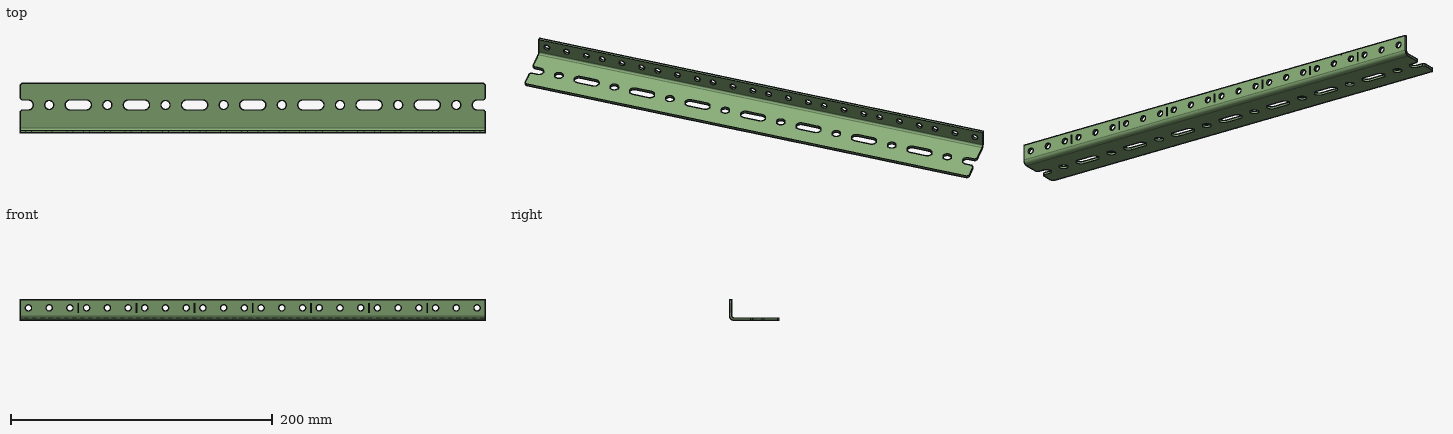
import cadquery as cq

length = 355.5
base_depth = 38.0
flange_height = 16.0
thickness = 2.0
outer_bend_radius = 3.5
inner_bend_radius = outer_bend_radius - thickness
corner_chamfer = 1.5

module_count = 8
module = length / module_count

base_row_y = 21.5
base_hole_diameter = 6.8
slot_length = 20.0
slot_width = 7.5

flange_row_z = 9.5
flange_hole_diameter = 4.5
flange_hole_spacing = 15.85
mark_height = 6.8
mark_width = 0.55
mark_depth = 0.5

module_boundaries = [i * module for i in range(module_count + 1)]
module_centers = [(i + 0.5) * module for i in range(module_count)]


def make_angle():
    """Bent L section: base in the XY plane, flange rising along the front edge."""
    section = (
        cq.Workplane("YZ")
        .moveTo(base_depth, 0)
        .lineTo(outer_bend_radius, 0)
        .radiusArc((0, outer_bend_radius), outer_bend_radius)
        .lineTo(0, flange_height)
        .lineTo(thickness, flange_height)
        .lineTo(thickness, outer_bend_radius)
        .radiusArc((outer_bend_radius, thickness), -inner_bend_radius)
        .lineTo(base_depth, thickness)
        .close()
    )
    return section.extrude(length)


def make_base_cutters():
    """Round holes at module centers, slots at module boundaries (open at both ends)."""
    holes = (
        cq.Workplane("XY")
        .pushPoints([(x, base_row_y) for x in module_centers])
        .circle(base_hole_diameter / 2)
        .extrude(thickness)
    )
    slots = (
        cq.Workplane("XY")
        .pushPoints([(x, base_row_y) for x in module_boundaries])
        .slot2D(slot_length, slot_width)
        .extrude(thickness)
    )
    return holes.union(slots)


def make_flange_holes():
    """Three evenly spaced holes in each module, through the flange."""
    points = [
        (center + step * flange_hole_spacing, flange_row_z)
        for center in module_centers
        for step in (-1, 0, 1)
    ]
    return (
        cq.Workplane("XZ")
        .pushPoints(points)
        .circle(flange_hole_diameter / 2)
        .extrude(-thickness)
    )


def make_index_marks():
    """Shallow upright grooves in the outer flange face, between neighboring modules."""
    return (
        cq.Workplane("XZ")
        .pushPoints([(x, flange_row_z) for x in module_boundaries[1:-1]])
        .rect(mark_width, mark_height)
        .extrude(-mark_depth)
    )


def chamfer_end_corners(body):
    """Chamfer the rear corners of the base and the four corners of the slot mouths."""
    half_slot = slot_width / 2
    corner_ys = (base_row_y - half_slot, base_row_y + half_slot, base_depth)
    for end_x in (0, length):
        for corner_y in corner_ys:
            corner = cq.selectors.NearestToPointSelector((end_x, corner_y, thickness / 2))
            body = body.edges("|Z").edges(corner).chamfer(corner_chamfer)
    return body


punched_angle = (
    make_angle()
    .cut(make_base_cutters())
    .cut(make_flange_holes())
    .cut(make_index_marks())
)
result = chamfer_end_corners(punched_angle)